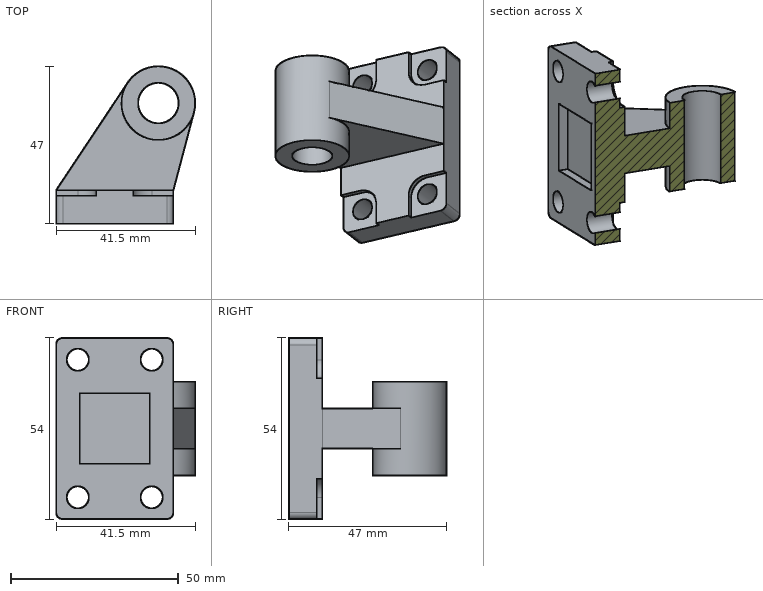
import cadquery as cq
import math

PLATE_WIDTH = 35.0
PLATE_THICKNESS = 10.0
PLATE_HEIGHT = 54.0
PLATE_CORNER_RADIUS = 2.0

HOLE_DIAMETER = 6.5
HOLE_EDGE_DISTANCE = 6.5

SEAT_RADIUS = 5.5
SEAT_SIZE = HOLE_EDGE_DISTANCE + SEAT_RADIUS
SEAT_DEPTH = 1.6

RECESS_SIDE = 21.0
RECESS_DEPTH = 3.0

BOSS_DIAMETER = 22.0
BOSS_RADIUS = BOSS_DIAMETER / 2
BOSS_LENGTH = 28.0
BORE_DIAMETER = 12.0
BOSS_X = 13.0
BOSS_Y = 36.0

ARM_THICKNESS = 12.0


def tangent_point(start_x, start_y, side):
    """Where a line from the start touches the boss: side is +1 for the -X flank, -1 for the +X flank."""
    dx = BOSS_X - start_x
    dy = BOSS_Y - start_y
    line_angle = math.atan2(dy, dx) + side * math.asin(BOSS_RADIUS / math.hypot(dx, dy))
    radius_angle = line_angle + side * math.pi / 2
    return (
        BOSS_X + BOSS_RADIUS * math.cos(radius_angle),
        BOSS_Y + BOSS_RADIUS * math.sin(radius_angle),
    )


def block_along_y(width, height, y_start, y_end):
    """Box centred on the Y axis between two Y positions."""
    length = y_end - y_start
    return cq.Workplane("XY").box(width, length, height).translate((0, y_start + length / 2, 0))


def make_plate():
    plate = block_along_y(PLATE_WIDTH, PLATE_HEIGHT, 0, PLATE_THICKNESS)
    return plate.edges("|Y").fillet(PLATE_CORNER_RADIUS)


def make_arm():
    """Web whose flanks run from the rear plate edges tangentially onto the boss."""
    half_width = PLATE_WIDTH / 2
    outline = [
        (-half_width, PLATE_THICKNESS),
        (half_width, PLATE_THICKNESS),
        tangent_point(half_width, PLATE_THICKNESS, -1),
        (BOSS_X, BOSS_Y),
        tangent_point(-half_width, PLATE_THICKNESS, 1),
    ]
    return cq.Workplane("XY").polyline(outline).close().extrude(ARM_THICKNESS / 2, both=True)


def boss_cylinder(diameter):
    """Cylinder on the boss axis, as long as the boss."""
    circle = cq.Workplane("XY").center(BOSS_X, BOSS_Y).circle(diameter / 2)
    return circle.extrude(BOSS_LENGTH / 2, both=True)


def make_corner_seats():
    """Shallow cuts open to both plate edges, each with one rounded inner corner."""
    seats = cq.Workplane("XY")
    block = block_along_y(2 * SEAT_SIZE, 2 * SEAT_SIZE, PLATE_THICKNESS - SEAT_DEPTH, PLATE_THICKNESS)
    block = block.edges("|Y").fillet(SEAT_RADIUS)
    for x_sign in (-1, 1):
        for z_sign in (-1, 1):
            corner = (x_sign * PLATE_WIDTH / 2, 0, z_sign * PLATE_HEIGHT / 2)
            seats = seats.add(block.translate(corner))
    return seats.combine()


def make_fixing_holes():
    x_spacing = PLATE_WIDTH - 2 * HOLE_EDGE_DISTANCE
    z_spacing = PLATE_HEIGHT - 2 * HOLE_EDGE_DISTANCE
    holes = cq.Workplane("XZ").rarray(x_spacing, z_spacing, 2, 2).circle(HOLE_DIAMETER / 2)
    return holes.extrude(-PLATE_THICKNESS)


def make_recess():
    return block_along_y(RECESS_SIDE, RECESS_SIDE, 0, RECESS_DEPTH)


body = make_plate().union(make_arm()).union(boss_cylinder(BOSS_DIAMETER))
body = body.cut(make_corner_seats()).cut(make_fixing_holes()).cut(make_recess())
result = body.cut(boss_cylinder(BORE_DIAMETER))